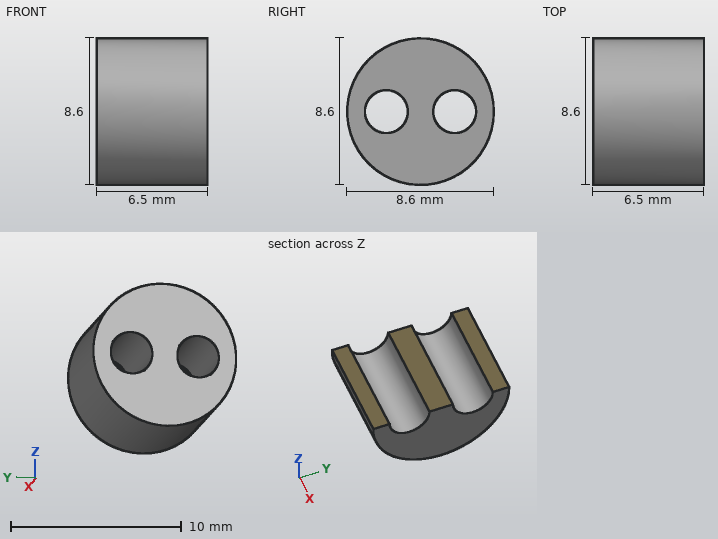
import cadquery as cq

body_diameter = 8.6
body_length = 6.5
hole_diameter = 2.5
hole_spacing = 4.0

body = cq.Workplane("YZ").circle(body_diameter / 2).extrude(body_length)

hole_centres = [(-hole_spacing / 2, 0), (hole_spacing / 2, 0)]
holes = (
    cq.Workplane("YZ")
    .pushPoints(hole_centres)
    .circle(hole_diameter / 2)
    .extrude(body_length)
)

result = body.cut(holes)